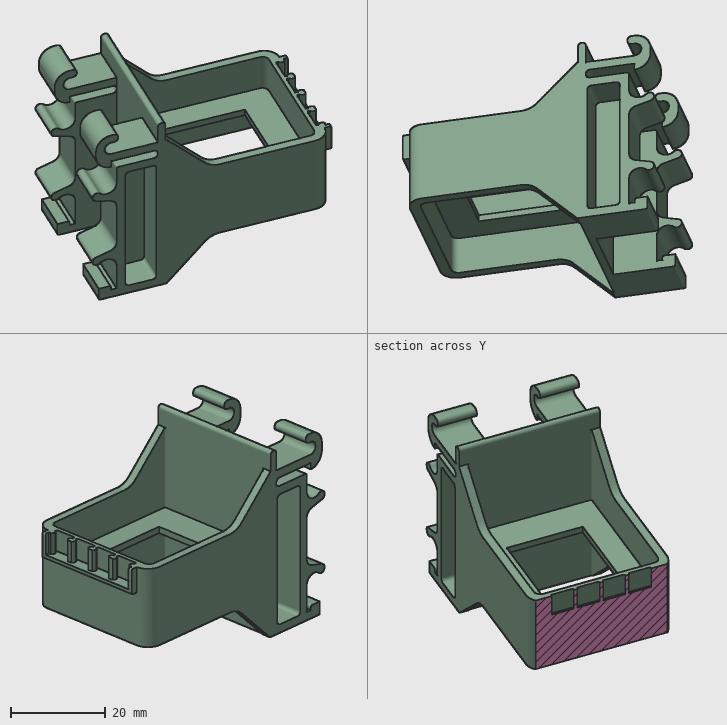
import cadquery as cq
import math

WIDTH = 32.9
HEIGHT = 43.7
WALL = 2.0
EDGE_ROUND = 0.4

HOLDER_BACK = 48.8
HOLDER_TOP = 28.7
HOLDER_HEIGHT = 18.5
HOLDER_BOTTOM = HOLDER_TOP - HOLDER_HEIGHT
HOLDER_CORNER = 3.5
BACK_WALL = 2.4
FLARE_START = 21.55
FLARE_ROUND = 5.0
FLOOR_TOP = 20.3
FLOOR_THICKNESS = 1.5
CAVITY_FRONT_ROUND = 0.3
WINDOW_WIDTH = 17.7
WINDOW_FRONT = 18.87
WINDOW_LENGTH = 20.4

FIN_FRONT = 9.45
FIN_THICKNESS = 1.7
FIN_TIP_RADIUS = 0.8
FIN_BACK = FIN_FRONT + FIN_THICKNESS
LEG_TOP = 34.7
SLOT_HEIGHT = 2.0
ARM_BOTTOM = LEG_TOP + SLOT_HEIGHT
ARM_TOP = ARM_BOTTOM + WALL

HOOK_Y = -1.2
HOOK_INNER_RADIUS = 1.5
HOOK_OUTER_RADIUS = HOOK_INNER_RADIUS + WALL
HOOK_TIP_Y = -0.6
HOOK_TIP_RADIUS = WALL / 2

LEG_GAP = 14.7
POCKET_BACK = 9.1
POCKET_ROUND = 0.9
FOOT_LENGTH = 4.05
FOOT_HEIGHT = 3.05
FOOT_GROOVE = 1.25
FOOT_LIP_ROUND = 0.5

BARB_MID_Z = 19.3
CRADLE_RADIUS = 2.25
CRADLE_OFFSET = 11.1
BARB_REACH = 5.5
BARB_TIP_RADIUS = 1.05
BARB_ROOT_RADIUS = 2.0
BARB_SLOPE = math.radians(15)

RAIL_WIDTH = 26.1
RAIL_PROJECTION = 1.6
RAIL_BACK = HOLDER_BACK + RAIL_PROJECTION
RAIL_HEIGHT = 6.0
RAIL_FLOOR = 1.0
RECESS_WIDTH = 24.2
RECESS_DEPTH = 0.95
CHANNEL_DEPTH = 2.0
RIDGE_COUNT = 5
RIDGE_PITCH = 6.0
RIDGE_RADIUS = 0.9
RIDGE_CENTRE_DEPTH = 0.7
RIDGE_NECK = 0.9
RIDGE_ROOT_ROUND = 0.2


def box(x0, x1, y0, y1, z0, z1):
    return cq.Workplane("XY").box(x1 - x0, y1 - y0, z1 - z0, centered=False).translate((x0, y0, z0))


def side_profile():
    return cq.Workplane("YZ")


def across_width(profile):
    return profile.extrude(WIDTH / 2, both=True)


def round_x_edge(solid, y, z, radius):
    """Fillet the edge along X that passes through (y, z)."""
    nearest = cq.selectors.NearestToPointSelector((0, y, z))
    return solid.edges("|X").edges(nearest).fillet(radius)


def make_body():
    flare_run = FLARE_START - FIN_BACK
    base_back = FLARE_START - HOLDER_BOTTOM
    body = across_width(
        side_profile()
        .moveTo(0, 0)
        .lineTo(base_back, 0)
        .lineTo(FLARE_START, HOLDER_BOTTOM)
        .lineTo(HOLDER_BACK, HOLDER_BOTTOM)
        .lineTo(HOLDER_BACK, HOLDER_TOP)
        .lineTo(FLARE_START, HOLDER_TOP)
        .lineTo(FIN_BACK, HOLDER_TOP + flare_run)
        .lineTo(FIN_BACK, HEIGHT)
        .lineTo(FIN_FRONT, HEIGHT)
        .lineTo(FIN_FRONT, ARM_TOP)
        .lineTo(0, ARM_TOP)
        .close()
    )
    for y in (FIN_FRONT, FIN_BACK):
        body = round_x_edge(body, y, HEIGHT, FIN_TIP_RADIUS)
    for z in (HOLDER_BOTTOM, HOLDER_TOP):
        body = round_x_edge(body, FLARE_START, z, FLARE_ROUND)
    return body.edges("|Z and >Y").fillet(HOLDER_CORNER)


def cut_arm_slot(body):
    slot_round = SLOT_HEIGHT / 2
    slot = across_width(
        side_profile()
        .moveTo(0, LEG_TOP)
        .lineTo(FIN_FRONT - slot_round, LEG_TOP)
        .threePointArc((FIN_FRONT, LEG_TOP + slot_round), (FIN_FRONT - slot_round, ARM_BOTTOM))
        .lineTo(0, ARM_BOTTOM)
        .close()
    )
    return round_x_edge(body.cut(slot), 0, LEG_TOP, EDGE_ROUND)


def make_hook():
    upper_z = ARM_TOP + HOOK_INNER_RADIUS
    mouth_z = upper_z + HOOK_INNER_RADIUS
    outer_y = HOOK_Y - HOOK_OUTER_RADIUS
    diagonal = HOOK_OUTER_RADIUS * math.cos(math.radians(45))
    return across_width(
        side_profile()
        .moveTo(0, ARM_TOP)
        .lineTo(HOOK_Y, ARM_TOP)
        .threePointArc((HOOK_Y - HOOK_INNER_RADIUS, upper_z), (HOOK_Y, mouth_z))
        .lineTo(HOOK_TIP_Y, mouth_z)
        .threePointArc((HOOK_TIP_Y + HOOK_TIP_RADIUS, HEIGHT - HOOK_TIP_RADIUS), (HOOK_TIP_Y, HEIGHT))
        .lineTo(HOOK_Y, HEIGHT)
        .threePointArc((HOOK_Y - diagonal, upper_z + diagonal), (outer_y, upper_z))
        .lineTo(outer_y, ARM_TOP)
        .threePointArc((HOOK_Y - diagonal, ARM_TOP - diagonal), (HOOK_Y, ARM_TOP - HOOK_OUTER_RADIUS))
        .lineTo(HOOK_Y, ARM_BOTTOM)
        .lineTo(0, ARM_BOTTOM)
        .close()
    )


def make_foot():
    foot = across_width(
        side_profile()
        .moveTo(0, 0)
        .lineTo(-FOOT_LENGTH, 0)
        .lineTo(-FOOT_LENGTH, FOOT_HEIGHT)
        .lineTo(-FOOT_GROOVE, FOOT_HEIGHT)
        .lineTo(-FOOT_GROOVE, WALL)
        .lineTo(0, WALL)
        .close()
    )
    foot = round_x_edge(foot, -FOOT_GROOVE, FOOT_HEIGHT, FOOT_LIP_ROUND)
    return round_x_edge(foot, -FOOT_LENGTH, 0, EDGE_ROUND)


def make_lower_barb():
    """Finger whose cradle arc runs tangent from the leg face into the round tip."""
    cradle_y = -CRADLE_RADIUS
    cradle_z = BARB_MID_Z - CRADLE_OFFSET
    centre_distance = CRADLE_RADIUS + BARB_TIP_RADIUS
    tip_y = BARB_TIP_RADIUS - BARB_REACH
    tip_z = cradle_z + math.sqrt(centre_distance**2 - (tip_y - cradle_y)**2)

    normal_y = -math.sin(BARB_SLOPE)
    normal_z = math.cos(BARB_SLOPE)
    root_y = -BARB_ROOT_RADIUS
    gap = BARB_ROOT_RADIUS + BARB_TIP_RADIUS
    root_z = tip_z + (gap - (root_y - tip_y) * normal_y) / normal_z

    join = CRADLE_RADIUS / centre_distance
    join_y = cradle_y + (tip_y - cradle_y) * join
    join_z = cradle_z + (tip_z - cradle_z) * join
    slope_end = (tip_y + BARB_TIP_RADIUS * normal_y, tip_z + BARB_TIP_RADIUS * normal_z)
    slope_start = (root_y - BARB_ROOT_RADIUS * normal_y, root_z - BARB_ROOT_RADIUS * normal_z)
    root_middle = math.radians(45) - BARB_SLOPE / 2
    root_middle_y = root_y + BARB_ROOT_RADIUS * math.cos(root_middle)
    root_middle_z = root_z - BARB_ROOT_RADIUS * math.sin(root_middle)
    return across_width(
        side_profile()
        .moveTo(0, cradle_z)
        .threePointArc((cradle_y, cradle_z + CRADLE_RADIUS), (join_y, join_z))
        .threePointArc((-BARB_REACH, tip_z), slope_end)
        .lineTo(*slope_start)
        .threePointArc((root_middle_y, root_middle_z), (0, root_z))
        .close()
    )


def make_barbs():
    lower = make_lower_barb()
    return lower.union(lower.mirror("XY", (0, 0, BARB_MID_Z)))


def cut_leg_gap(body):
    return body.cut(box(-LEG_GAP / 2, LEG_GAP / 2, -BARB_REACH, FIN_FRONT, 0, HEIGHT))


def cut_leg_pockets(body):
    """Rounded pockets in the outer sides of both legs, leaving the inner side wall."""
    inner_x = LEG_GAP / 2 + WALL
    pocket = box(inner_x, WIDTH / 2, WALL, POCKET_BACK, WALL, LEG_TOP - WALL)
    pocket = pocket.edges("|X").fillet(POCKET_ROUND)
    return body.cut(pocket).cut(pocket.mirror("YZ"))


def make_cavity(z0, z1):
    half = WIDTH / 2 - WALL
    cavity = box(-half, half, FIN_BACK, HOLDER_BACK - BACK_WALL, z0, z1)
    cavity = cavity.edges("|Z and >Y").fillet(HOLDER_CORNER - WALL)
    return cavity.edges("|Z and <Y").fillet(CAVITY_FRONT_ROUND)


def hollow_holder(body):
    """Open the holder from above and below, leaving a floor with a rectangular window."""
    floor_bottom = FLOOR_TOP - FLOOR_THICKNESS
    window = box(
        -WINDOW_WIDTH / 2, WINDOW_WIDTH / 2,
        WINDOW_FRONT, WINDOW_FRONT + WINDOW_LENGTH,
        floor_bottom, FLOOR_TOP,
    )
    body = body.cut(make_cavity(FLOOR_TOP, HEIGHT))
    return body.cut(make_cavity(0, floor_bottom)).cut(window)


def make_rail():
    half = RAIL_WIDTH / 2
    front = HOLDER_BACK - BACK_WALL / 2
    rail = box(-half, half, front, RAIL_BACK, HOLDER_TOP - RAIL_HEIGHT, HOLDER_TOP)
    return rail.edges("|X and >Y").fillet(EDGE_ROUND)


def make_rail_channels():
    """Space between the keyhole ridges, plus the shallow recess over their flat tops."""
    z0 = HOLDER_TOP - RAIL_HEIGHT + RAIL_FLOOR
    ridge_top = RAIL_BACK - RECESS_DEPTH
    channel_bottom = ridge_top - CHANNEL_DEPTH
    centre_y = ridge_top - RIDGE_CENTRE_DEPTH
    end_x = RIDGE_PITCH * (RIDGE_COUNT - 1) / 2
    channels = box(-end_x, end_x, channel_bottom, ridge_top, z0, HOLDER_TOP)
    for index in range(RIDGE_COUNT):
        x = index * RIDGE_PITCH - end_x
        head = cq.Workplane("XY", (x, centre_y, z0)).circle(RIDGE_RADIUS).extrude(HOLDER_TOP - z0)
        neck = box(x - RIDGE_NECK / 2, x + RIDGE_NECK / 2, channel_bottom, centre_y, z0, HOLDER_TOP)
        channels = channels.cut(head).cut(neck)
    channels = channels.edges("|Z and <Y").fillet(RIDGE_ROOT_ROUND)
    recess = box(-RECESS_WIDTH / 2, RECESS_WIDTH / 2, ridge_top, RAIL_BACK, z0, HOLDER_TOP)
    return channels.union(recess)


result = cut_arm_slot(make_body())
result = result.union(make_hook()).union(make_foot()).union(make_barbs())
result = cut_leg_gap(result)
result = cut_leg_pockets(result)
result = hollow_holder(result)
result = result.union(make_rail()).cut(make_rail_channels())